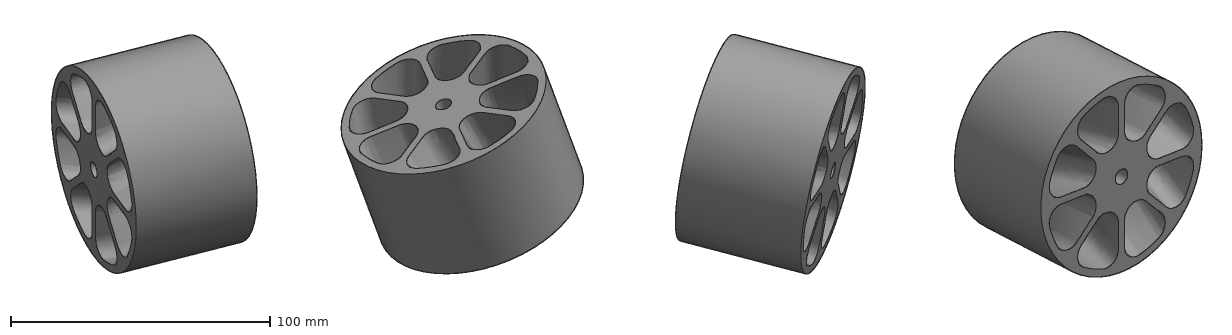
import cadquery as cq
import math

wheel_diameter = 82.5
wheel_width = 50.8
bore_diameter = 6.35

spoke_count = 8
spoke_thickness = 3.1
rim_thickness = 3.3
hub_radius = 14.6
corner_radius = 6.3
twist_angle = 30.0

window_outer_radius = wheel_diameter / 2 - rim_thickness
window_pitch = 360 / spoke_count


def back_plane():
    """Workplane on the back face, with its normal towards the front face."""
    return cq.Workplane("XZ", origin=(0, wheel_width / 2, 0))


def spoke_side_point(radius):
    """Where the side of the spoke above a window along +X meets a circle about the axis."""
    lean = math.asin(spoke_thickness / 2 / radius)
    angle = math.radians(window_pitch / 2) - lean
    return radius * math.cos(angle), radius * math.sin(angle)


def window_section():
    """Window outline along +X: hub arc, rim arc and two spoke sides, with rounded corners."""
    hub_x, hub_y = spoke_side_point(hub_radius)
    rim_x, rim_y = spoke_side_point(window_outer_radius)
    return (
        cq.Sketch()
        .segment((hub_x, -hub_y), (rim_x, -rim_y))
        .arc((rim_x, -rim_y), (window_outer_radius, 0), (rim_x, rim_y))
        .segment((rim_x, rim_y), (hub_x, hub_y))
        .arc((hub_x, hub_y), (hub_radius, 0), (hub_x, -hub_y))
        .assemble()
        .vertices()
        .fillet(corner_radius)
        .reset()
    )


def twisted_window(front_angle):
    """Cutter that reaches the given angle at the front after twisting from the back."""
    return (
        back_plane()
        .transformed(rotate=(0, 0, front_angle + twist_angle))
        .placeSketch(window_section())
        .twistExtrude(wheel_width, -twist_angle)
    )


result = (
    back_plane()
    .circle(wheel_diameter / 2)
    .circle(bore_diameter / 2)
    .extrude(wheel_width)
)
for index in range(spoke_count):
    result = result.cut(twisted_window((index + 0.5) * window_pitch))